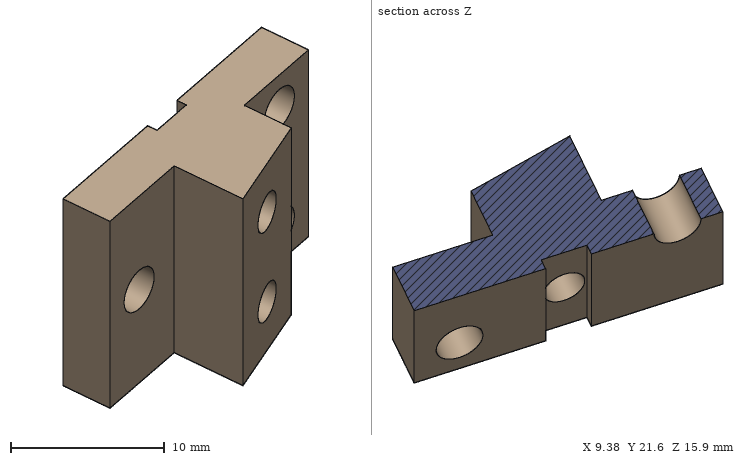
import cadquery as cq
import math

plate_thickness = 3.81
plate_width = 21.59
height = 15.875

block_width = 7.62
block_short_reach = 7.62
slant_angle = 13.0
block_long_reach = block_short_reach + block_width * math.tan(math.radians(slant_angle))

groove_width = 3.175
groove_depth = 0.762

mount_hole_diameter = 3.264
mount_hole_offset_y = 7.62
mount_pair_spacing = 10.16
block_hole_diameter = 2.87
block_hole_spacing = 7.62


def make_plate():
    """Plate with its back face on X = 0, centred on Y and Z."""
    return cq.Workplane("XY").box(plate_thickness, plate_width, height, centered=(False, True, True))


def make_block():
    """Wedge block, running through the plate so that the two fuse fully."""
    half_width = block_width / 2
    outline = [
        (0, -half_width),
        (block_long_reach, -half_width),
        (block_short_reach, half_width),
        (0, half_width),
    ]
    return cq.Workplane("XY").workplane(offset=-height / 2).polyline(outline).close().extrude(height)


def make_groove():
    """Volume removed by the vertical groove in the back face."""
    return cq.Workplane("XY").box(groove_depth, groove_width, height, centered=(False, True, True))


def make_holes(centres, diameter):
    """Cylinders along X, long enough to pass through the plate and the block."""
    return cq.Workplane("YZ").pushPoints(centres).circle(diameter / 2).extrude(block_long_reach)


mount_hole_centres = [
    (mount_hole_offset_y, mount_pair_spacing / 2),
    (mount_hole_offset_y, -mount_pair_spacing / 2),
    (-mount_hole_offset_y, 0),
]

block_hole_centres = [(0, side * block_hole_spacing / 2) for side in (-1, 1)]

result = (
    make_plate()
    .union(make_block())
    .cut(make_groove())
    .cut(make_holes(mount_hole_centres, mount_hole_diameter))
    .cut(make_holes(block_hole_centres, block_hole_diameter))
)